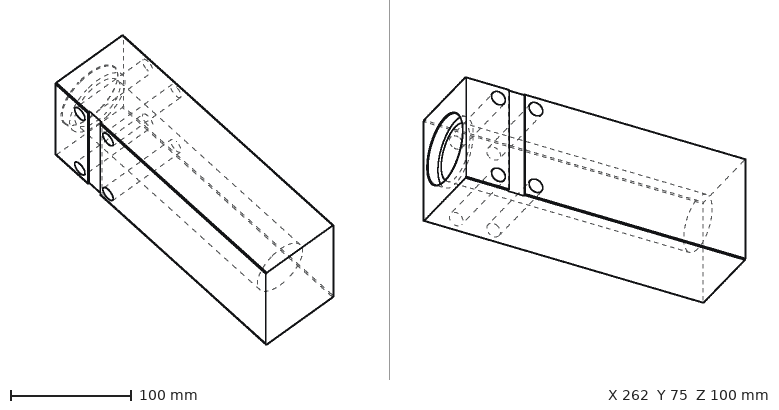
import cadquery as cq

length = 262.0
thickness = 75.0
height = 100.0
edge_chamfer = 0.92

bore_diameter = 50.0
end_wall = 25.0
bore_depth = length - end_wall
counterbore_diameter = 61.5
counterbore_depth = 10.0
mouth_chamfer = 0.65

groove_center = 48.0
groove_width = 15.2
groove_depth = 1.8

hole_diameter = 12.8
hole_spacing_x = 35.0
hole_spacing_z = 76.0


def make_block():
    block = cq.Workplane("XY").box(length, thickness, height, centered=(False, True, True))
    return block.edges("|X").chamfer(edge_chamfer)


def make_bore():
    """Blind bore with a wider counterbore and a chamfered mouth, turned about X."""
    bore_radius = bore_diameter / 2
    counterbore_radius = counterbore_diameter / 2
    profile = [
        (0, 0),
        (0, counterbore_radius + mouth_chamfer),
        (mouth_chamfer, counterbore_radius),
        (counterbore_depth, counterbore_radius),
        (counterbore_depth, bore_radius),
        (bore_depth, bore_radius),
        (bore_depth, 0),
    ]
    return cq.Workplane("XY").polyline(profile).close().revolve(360, (0, 0, 0), (1, 0, 0))


def make_groove():
    cutter = cq.Workplane("XY").box(groove_width, 2 * groove_depth, height)
    return cutter.translate((groove_center, -thickness / 2, 0))


def make_mounting_holes():
    return (
        cq.Workplane("XZ", origin=(groove_center, 0, 0))
        .rarray(hole_spacing_x, hole_spacing_z, 2, 2)
        .circle(hole_diameter / 2)
        .extrude(thickness / 2, both=True)
    )


result = make_block().cut(make_bore()).cut(make_groove()).cut(make_mounting_holes())